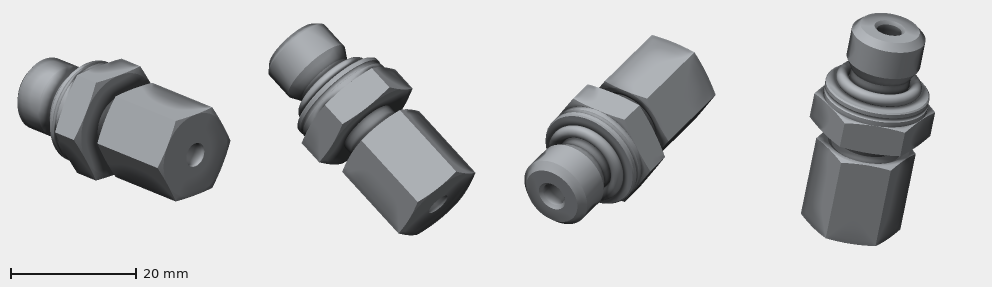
import cadquery as cq
import math


length = 36.0
thread_end_x = 5.98
relief_start_x = 7.95
flange_x = 10.98
hex_x = 13.45
hex_end_x = 18.5
neck_end_x = 21.02
nut_x = 21.5

thread_radius = 12.0 / 2
neck_radius = 9.72 / 2
spigot_chamfer = thread_radius - neck_radius
bore_radius = 4.0 / 2
bore_countersink_radius = 5.0 / 2
bore_countersink_angle = 45.0
hex_across_flats = 17.0

stud_radius = 11.3 / 2
stud_x = neck_end_x + (stud_radius - neck_radius)

flange_radius = 16.92 / 2
flange_chamfer = 0.2
groove_x = 12.2
groove_width = 0.8
groove_depth = 0.25

ring_outer_radius = 13.9 / 2
ring_section_radius = 1.98 / 2

nut_across_flats = 14.0
nut_countersink_radius = 12.45 / 2
nut_countersink_angle = 60.0

hex_chamfer_angle = 15.0


def revolve_about_x(profile):
    """Turn a closed profile in the XY plane once around the X axis."""
    return profile.revolve(360, (0, 0, 0), (1, 0, 0))


def chamfered_hexagon(across_flats, start_x, end_x):
    """A hexagonal prism with flats at +-Z and its corners coned off at both ends."""
    flat_radius = across_flats / 2
    corner_radius = flat_radius / math.cos(math.pi / 6)
    setback = (corner_radius - flat_radius) * math.tan(math.radians(hex_chamfer_angle))
    prism = (
        cq.Workplane("YZ", origin=(start_x, 0, 0))
        .polygon(6, 2 * corner_radius)
        .extrude(end_x - start_x)
    )
    envelope_profile = (
        cq.Workplane("XY")
        .moveTo(start_x, 0)
        .lineTo(start_x, flat_radius)
        .lineTo(start_x + setback, corner_radius)
        .lineTo(end_x - setback, corner_radius)
        .lineTo(end_x, flat_radius)
        .lineTo(end_x, 0)
        .close()
    )
    return prism.intersect(revolve_about_x(envelope_profile))


def countersunk_hole_cutter(hole_radius, countersink_radius, half_angle, start_x):
    """Cutter for a hole from start_x to the far end, countersunk at start_x."""
    countersink_depth = (countersink_radius - hole_radius) / math.tan(math.radians(half_angle))
    profile = (
        cq.Workplane("XY")
        .moveTo(start_x, 0)
        .lineTo(start_x, countersink_radius)
        .lineTo(start_x + countersink_depth, hole_radius)
        .lineTo(length, hole_radius)
        .lineTo(length, 0)
        .close()
    )
    return revolve_about_x(profile)


def make_turned_blank():
    """Spigot, relief neck, grooved flange, rear neck and stud as one turned profile."""
    profile = (
        cq.Workplane("XY")
        .moveTo(0, 0)
        .lineTo(0, thread_radius - spigot_chamfer)
        .lineTo(spigot_chamfer, thread_radius)
        .lineTo(thread_end_x, thread_radius)
        .lineTo(relief_start_x, neck_radius)
        .lineTo(flange_x, neck_radius)
        .lineTo(flange_x, flange_radius - flange_chamfer)
        .lineTo(flange_x + flange_chamfer, flange_radius)
        .lineTo(groove_x - groove_width / 2, flange_radius)
        .threePointArc(
            (groove_x, flange_radius - groove_depth),
            (groove_x + groove_width / 2, flange_radius),
        )
        .lineTo(hex_x, flange_radius)
        .lineTo(hex_x, neck_radius)
        .lineTo(neck_end_x, neck_radius)
        .lineTo(stud_x, stud_radius)
        .lineTo(length, stud_radius)
        .lineTo(length, 0)
        .close()
    )
    return revolve_about_x(profile)


def make_fitting():
    """The turned blank with its wrench hexagon and through bore."""
    wrench_hexagon = chamfered_hexagon(hex_across_flats, hex_x, hex_end_x)
    through_bore = countersunk_hole_cutter(
        bore_radius, bore_countersink_radius, bore_countersink_angle, 0
    )
    return make_turned_blank().union(wrench_hexagon).cut(through_bore)


def make_sealing_ring():
    """A round-section ring around the relief neck."""
    section_centre_radius = ring_outer_radius - ring_section_radius
    section = (
        cq.Workplane("XY")
        .moveTo(flange_x - ring_section_radius, section_centre_radius)
        .circle(ring_section_radius)
    )
    return revolve_about_x(section)


def make_nut():
    """The hexagonal nut, bored to sit on the stud."""
    blank = chamfered_hexagon(nut_across_flats, nut_x, length)
    stud_hole = countersunk_hole_cutter(
        stud_radius, nut_countersink_radius, nut_countersink_angle, nut_x
    )
    return blank.cut(stud_hole)


fitting = make_fitting()
sealing_ring = make_sealing_ring()
nut = make_nut()

result = cq.Compound.makeCompound([fitting.val(), sealing_ring.val(), nut.val()])